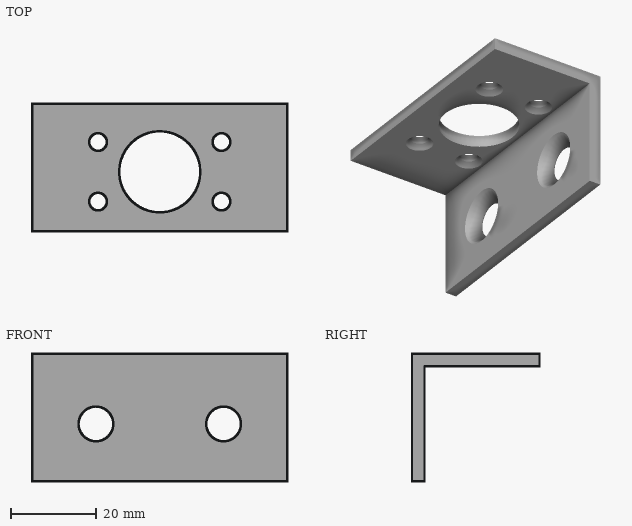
import cadquery as cq

length = 60.0
depth = 30.0
height = 30.0
thickness = 3.0

bore_diameter = 19.0
bore_y = 14.0
screw_diameter = 4.1
screw_sink_depth = 1.2
screw_spacing_x = 29.0
screw_spacing_y = 14.0

mount_diameter = 8.1
mount_sink_depth = 2.83
mount_spacing = length / 2
web_height = height - thickness


def countersunk_hole(hole_diameter, sink_depth):
    """Cutter with a 90 degree sink, from its narrow end at Z = 0 to its wide end at Z = thickness."""
    hole_radius = hole_diameter / 2
    sink_radius = hole_radius + sink_depth
    profile = (
        cq.Workplane("XZ")
        .lineTo(hole_radius, 0)
        .lineTo(hole_radius, thickness - sink_depth)
        .lineTo(sink_radius, thickness)
        .lineTo(0, thickness)
        .close()
    )
    return profile.revolve(360, (0, 0, 0), (0, 1, 0))


def make_flange():
    """Horizontal plate on top: bore, and screw holes countersunk from below."""
    plate = cq.Workplane("XY").box(length, depth, thickness, centered=(True, False, False))
    plate = plate.translate((0, 0, web_height))
    bore_plane = cq.Workplane("XY", origin=(0, bore_y, web_height))
    bore = bore_plane.circle(bore_diameter / 2).extrude(thickness)
    plate = plate.cut(bore)
    cutter = countersunk_hole(screw_diameter, screw_sink_depth)
    cutter = cutter.rotate((0, 0, 0), (1, 0, 0), 180)
    for side_x in (-1, 1):
        for side_y in (-1, 1):
            x = side_x * screw_spacing_x / 2
            y = bore_y + side_y * screw_spacing_y / 2
            plate = plate.cut(cutter.translate((x, y, height)))
    return plate


def make_web():
    """Vertical plate under the front edge: mounting holes countersunk from behind."""
    plate = cq.Workplane("XY").box(length, thickness, web_height, centered=(True, False, False))
    cutter = countersunk_hole(mount_diameter, mount_sink_depth)
    cutter = cutter.rotate((0, 0, 0), (1, 0, 0), -90)
    for side_x in (-1, 1):
        plate = plate.cut(cutter.translate((side_x * mount_spacing / 2, 0, web_height / 2)))
    return plate


result = make_flange().union(make_web(), clean=False)